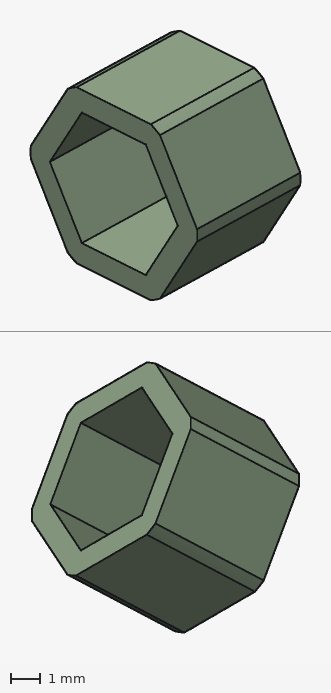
import cadquery as cq
import math

corner_diameter = 7.7
length = 5.0
outer_across_flats = 6.9
bore_across_flats = 5.11


def hexagonal_prism(across_flats):
    """Hexagonal prism along Y, centred on the origin, with corners on the X axis."""
    across_corners = across_flats / math.cos(math.pi / 6)
    return cq.Workplane("XZ").polygon(6, across_corners).extrude(length / 2, both=True)


corner_cylinder = cq.Workplane("XZ").circle(corner_diameter / 2).extrude(length / 2, both=True)

body = hexagonal_prism(outer_across_flats).intersect(corner_cylinder)
result = body.cut(hexagonal_prism(bore_across_flats))